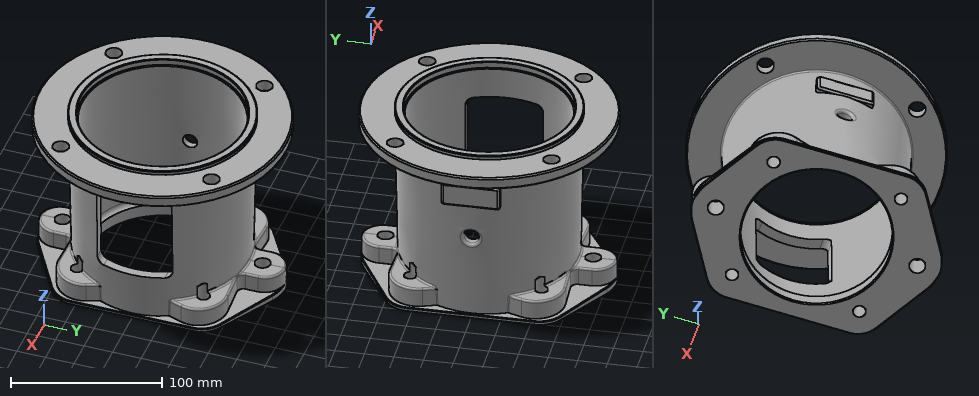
import cadquery as cq
import math

total_height = 127.0
flange_top = 124.0
flange_bottom = 115.5

flange_radius = 86.5
flange_chamfer = 1.0
pilot_radius = 62.8
pilot_chamfer = 0.7
flange_hole_offset = 52.8
flange_hole_diameter = 11.0

body_top_radius = 62.8
body_bottom_radius = 60.2
body_flange_fillet = 1.0
bore_mouth_radius = 56.9
bore_mouth_depth = 4.5
bore_mouth_chamfer = 0.5
bore_step_height = 0.5
bore_top_radius = 55.9
bore_bottom_radius = 53.8
lip_height = 10.4
lip_radius = 50.2
lip_chamfer = 0.9

plate_corner_offset = 42.7
plate_corner_radius = 19.2
plate_end_radius = 28.2
base_reach = 86.0
plate_ridge_height = 6.2
plate_draft = 3.0
plate_edge_chamfer = 0.5

pad_offset = 39.5
pad_radius = 19.9
pad_side_tilt = 18.0
pad_end_tilt = 2.4
pad_ridge_height = 18.9
pad_draft = 2.0
pad_edge_fillet = 1.4
pad_wall_fillet = 1.2
lobe_half_width = 14.2
lobe_root_fillet = 4.5
bolt_hole_offset = 44.3
bolt_hole_diameter = 8.5
bolt_hole_depth = 24.5
drill_point_angle = 118.0
lobe_hole_offset = 70.0
lobe_hole_diameter = 10.7

window_half_width = 26.3
window_bottom = 35.8
window_top = 100.5
window_corner_radius = 5.0

side_hole_height = 62.1
side_hole_radius = 5.0
side_hole_rim_fillet = 2.0
nameplate_half_length = 19.7
nameplate_bottom = 86.1
nameplate_top = 103.3
nameplate_reach = 63.3
nameplate_chamfer = 1.5
nameplate_corner_radius = 2.0

selection_margin = 0.9


def polar(center, radius, degrees):
    """Point on a circle, by angle from the first axis of its plane."""
    angle = math.radians(degrees)
    return (center[0] + radius * math.cos(angle), center[1] + radius * math.sin(angle))


def revolve_profile(points):
    """Solid of revolution about Z from (radius, height) points."""
    return cq.Workplane("XZ").polyline(points).close().revolve(360, (0, 0, 0), (0, 1, 0))


def four_corners(offset):
    return [(sx * offset, sy * offset) for sx in (-1, 1) for sy in (-1, 1)]


def below_roof(ridge_height, draft):
    """Everything between z = 0 and two planes that fall from a ridge over the Y axis."""
    drop = flange_radius * math.tan(math.radians(draft))
    eave = ridge_height - drop
    section = [
        (-flange_radius, 0),
        (flange_radius, 0),
        (flange_radius, eave),
        (0, ridge_height),
        (-flange_radius, eave),
    ]
    return cq.Workplane("XZ").polyline(section).close().extrude(2 * flange_radius, both=True)


def make_tube():
    """Solid tapered tube with its flange and pilot."""
    outer = [
        (0, 0),
        (body_bottom_radius, 0),
        (body_top_radius, flange_bottom),
        (flange_radius - flange_chamfer, flange_bottom),
        (flange_radius, flange_bottom + flange_chamfer),
        (flange_radius, flange_top - flange_chamfer),
        (flange_radius - flange_chamfer, flange_top),
        (pilot_radius, flange_top),
        (pilot_radius, total_height - pilot_chamfer),
        (pilot_radius - pilot_chamfer, total_height),
        (0, total_height),
    ]
    reach = body_top_radius + selection_margin
    flange_root = cq.selectors.BoxSelector(
        (-reach, -reach, flange_bottom - selection_margin),
        (reach, reach, flange_bottom + selection_margin),
        boundingbox=True,
    )
    return revolve_profile(outer).edges(flange_root).fillet(body_flange_fillet)


def make_bore():
    """Tapered bore with a stepped mouth, rounded into a locating lip at the bottom."""
    lip_fillet = bore_bottom_radius - lip_radius
    fillet_center = (lip_radius, lip_height + lip_fillet)
    return (
        cq.Workplane("XZ")
        .lineTo(lip_radius + lip_chamfer, 0)
        .lineTo(lip_radius, lip_chamfer)
        .lineTo(lip_radius, lip_height)
        .threePointArc(
            polar(fillet_center, lip_fillet, -45),
            polar(fillet_center, lip_fillet, 0),
        )
        .lineTo(bore_top_radius, total_height - bore_mouth_depth - bore_step_height)
        .lineTo(bore_mouth_radius, total_height - bore_mouth_depth)
        .lineTo(bore_mouth_radius, total_height - bore_mouth_chamfer)
        .lineTo(bore_mouth_radius + bore_mouth_chamfer, total_height)
        .lineTo(0, total_height)
        .close()
        .revolve(360, (0, 0, 0), (0, 1, 0))
    )


def mirror_quadrant(quadrant):
    """Complete a solid that fills the +X +Y quadrant by mirroring it across both planes."""
    half = quadrant.union(quadrant.mirror("YZ"))
    return half.union(half.mirror("XZ"))


def make_base_plate():
    """Plate with a gently ridged top, outlined by arcs joined by their common tangents."""
    corner = (plate_corner_offset, plate_corner_offset)
    end = (0, base_reach - plate_end_radius)
    span = (end[0] - corner[0], end[1] - corner[1])
    span_angle = math.degrees(math.atan2(span[1], span[0]))
    radius_ratio = (plate_corner_radius - plate_end_radius) / math.hypot(*span)
    tangent_angle = span_angle - math.degrees(math.acos(radius_ratio))
    quadrant = (
        cq.Workplane("XY")
        .lineTo(plate_corner_offset + plate_corner_radius, 0)
        .lineTo(*polar(corner, plate_corner_radius, 0))
        .threePointArc(
            polar(corner, plate_corner_radius, tangent_angle / 2),
            polar(corner, plate_corner_radius, tangent_angle),
        )
        .lineTo(*polar(end, plate_end_radius, tangent_angle))
        .threePointArc(
            polar(end, plate_end_radius, (tangent_angle + 90) / 2),
            (0, base_reach),
        )
        .close()
        .extrude(plate_ridge_height)
    )
    quadrant = quadrant.intersect(below_roof(plate_ridge_height, plate_draft))
    corner_point = polar(corner, plate_corner_radius, tangent_angle / 2)
    rim_edge = cq.selectors.NearestToPointSelector((*corner_point, plate_ridge_height))
    plate = mirror_quadrant(quadrant.edges(rim_edge).chamfer(plate_edge_chamfer))
    return plate.faces("<Z").edges().chamfer(plate_edge_chamfer)


def make_pads():
    """Four corner pads and two end lobes, reaching inward to the axis."""
    corner = (pad_offset, pad_offset)
    lobe = (0, base_reach - lobe_half_width)
    side_angle = -pad_side_tilt
    end_angle = 90 + pad_end_tilt
    side_start = polar(corner, pad_radius, side_angle)
    side_inner = polar(side_start, pad_radius, side_angle - 90)
    end_start = polar(corner, pad_radius, end_angle)
    root_run = end_start[0] - lobe_half_width
    root = (lobe_half_width, end_start[1] - root_run * math.tan(math.radians(pad_end_tilt)))
    quadrant = (
        cq.Workplane("XY")
        .lineTo(*side_inner)
        .lineTo(*side_start)
        .threePointArc(polar(corner, pad_radius, 45), end_start)
        .lineTo(*root)
        .lineTo(lobe_half_width, lobe[1])
        .threePointArc(polar(lobe, lobe_half_width, 45), (0, base_reach))
        .lineTo(0, 0)
        .close()
        .extrude(pad_ridge_height)
    )
    root_edge = cq.selectors.NearestToPointSelector((*root, pad_ridge_height / 2))
    quadrant = quadrant.edges(root_edge).fillet(lobe_root_fillet)
    quadrant = quadrant.intersect(below_roof(pad_ridge_height, pad_draft))
    rim_edge = cq.selectors.NearestToPointSelector((*polar(corner, pad_radius, 45), pad_ridge_height))
    return mirror_quadrant(quadrant.edges(rim_edge).fillet(pad_edge_fillet))


def make_nameplate():
    """Raised rectangle on the wall, sloping down to it on all four sides."""
    return (
        cq.Workplane("YZ", origin=(-nameplate_reach, 0, (nameplate_bottom + nameplate_top) / 2))
        .rect(2 * nameplate_half_length, nameplate_top - nameplate_bottom)
        .extrude(body_top_radius - bore_bottom_radius)
        .edges("|X")
        .fillet(nameplate_corner_radius)
        .faces("<X")
        .edges()
        .chamfer(nameplate_chamfer)
    )


def make_flange_holes():
    return (
        cq.Workplane("XY", origin=(0, 0, flange_bottom))
        .pushPoints(four_corners(flange_hole_offset))
        .circle(flange_hole_diameter / 2)
        .extrude(flange_top - flange_bottom)
    )


def make_bolt_holes():
    """Blind drilled holes from below that break out through the foot of the wall."""
    radius = bolt_hole_diameter / 2
    tip = bolt_hole_depth + radius / math.tan(math.radians(drill_point_angle / 2))
    drill = revolve_profile([(0, 0), (radius, 0), (radius, bolt_hole_depth), (0, tip)])
    holes = cq.Workplane("XY")
    for x, y in four_corners(bolt_hole_offset):
        holes = holes.add(drill.translate((x, y, 0)))
    return holes.combine()


def make_lobe_holes():
    return (
        cq.Workplane("XY")
        .pushPoints([(0, -lobe_hole_offset), (0, lobe_hole_offset)])
        .circle(lobe_hole_diameter / 2)
        .extrude(pad_ridge_height)
    )


def make_window():
    return (
        cq.Workplane("YZ", origin=(0, 0, (window_bottom + window_top) / 2))
        .rect(2 * window_half_width, window_top - window_bottom)
        .extrude(flange_radius)
        .edges("|X")
        .fillet(window_corner_radius)
    )


def make_side_hole():
    return (
        cq.Workplane("YZ", origin=(0, 0, side_hole_height))
        .circle(side_hole_radius)
        .extrude(-flange_radius)
    )


def make_tube_with_pads():
    """Tube and pads blended where the pads meet the wall."""
    body = make_tube().union(make_pads())
    blend_edges = body.edges().filter(
        lambda edge: 0 < edge.Center().z < pad_ridge_height
        and math.hypot(edge.Center().x, edge.Center().y) < body_top_radius - selection_margin
    )
    return blend_edges.fillet(pad_wall_fillet)


body = make_tube_with_pads().union(make_base_plate()).union(make_nameplate())
body = body.cut(make_bore()).cut(make_window()).cut(make_side_hole())
hole_rim = cq.selectors.NearestToPointSelector((-body_top_radius, 0, side_hole_height))
body = body.edges(hole_rim).fillet(side_hole_rim_fillet)
result = body.cut(make_flange_holes()).cut(make_bolt_holes()).cut(make_lobe_holes())